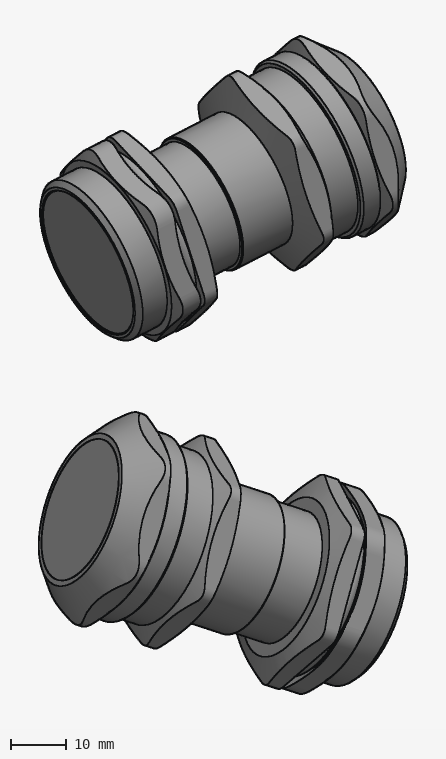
import cadquery as cq
import math

total_length = 60.07
front_y = -total_length / 2

locknut_front = 6.35
flange_front = 12.0
flange_back = 16.5
sleeve_front = 24.8
body_hex_front = 35.8
body_hex_back = 42.1
collar_front = 47.9
cap_front = 52.0
cap_back = 60.0

thread_diameter = 32.0
neck_diameter = 25.0
sleeve_diameter = 26.6
body_thread_diameter = 33.0
collar_diameter = 35.5
end_disc_diameter = 26.6

thread_chamfer = 1.0
sleeve_chamfer = 0.2
collar_chamfer = 0.45

recess_mouth_diameter = 28.8
recess_floor_diameter = 28.4
recess_depth = 0.2

nut_across_flats = 35.0
cap_across_flats = 36.0
locknut_corner_radius = 5.5
nut_corner_radius = 3.0
cap_corner_radius = 5.0

gentle_slope = math.tan(math.radians(20))
nut_slope = math.tan(math.radians(30))
cap_back_slope = math.tan(math.radians(45))
cap_front_slope = math.tan(math.radians(25))
cone_reach = 22.0
locknut_face_radius = 17.4
flange_face_radius = 15.0
cap_front_face_radius = 17.5
cap_back_face_radius = 14.35

dish_rim_station = 10.3

ring_outer_radius = 17.3
ring_section_radius = 1.5
ring_centre_station = 11.4


def revolve_about_axis(points):
    """Turn a closed outline of (radius, station) points about the gland's axis."""
    outline = cq.Workplane("XY").polyline(points).close()
    turned = outline.revolve(360, (0, 0, 0), (0, 1, 0))
    return turned.translate((0, front_y, 0))


def cylinder(diameter, start, end, front_chamfer=0.0):
    """A turned section, with an optional 45 degree chamfer on its front edge."""
    radius = diameter / 2
    points = [(0, start), (radius - front_chamfer, start)]
    if front_chamfer > 0:
        points.append((radius, start + front_chamfer))
    points += [(radius, end), (0, end)]
    return revolve_about_axis(points)


def hex_prism(across_flats, corner_radius, start, end):
    """A hexagon with rounded corners, two of them on the X axis."""
    across_corners = across_flats / math.cos(math.radians(30))
    prism = (
        cq.Workplane("XZ", origin=(0, front_y + start, 0))
        .polygon(6, across_corners)
        .extrude(start - end)
    )
    return prism.edges("|Y").fillet(corner_radius)


def cone_envelope(start, end, front_radius, front_slope, back_radius, back_slope):
    """The solid that bevels a hexagon: a cone on each end; a radius of None leaves it flat."""
    points = [(0, start)]
    if front_radius is None:
        points.append((cone_reach, start))
    else:
        points.append((front_radius, start))
        points.append((cone_reach, start + (cone_reach - front_radius) * front_slope))
    if back_radius is None:
        points.append((cone_reach, end))
    else:
        points.append((cone_reach, end - (cone_reach - back_radius) * back_slope))
        points.append((back_radius, end))
    points.append((0, end))
    return revolve_about_axis(points)


def make_locknut():
    nut = hex_prism(nut_across_flats, locknut_corner_radius, locknut_front, flange_front)
    bevel = cone_envelope(
        locknut_front, flange_front, locknut_face_radius, nut_slope, None, None
    )
    flat_radius = nut_across_flats / 2
    dish_bottom_radius = thread_diameter / 2
    dish = revolve_about_axis([
        (dish_bottom_radius, dish_rim_station - (flat_radius - dish_bottom_radius) * nut_slope),
        (cone_reach, dish_rim_station + (cone_reach - flat_radius) * nut_slope),
        (cone_reach, flange_back),
        (dish_bottom_radius, flange_back),
    ])
    return nut.intersect(bevel).cut(dish)


def make_sealing_ring():
    centre_radius = ring_outer_radius - ring_section_radius
    ring = (
        cq.Workplane("XY")
        .center(-centre_radius, ring_centre_station)
        .circle(ring_section_radius)
        .revolve(360, (centre_radius, 0, 0), (centre_radius, 1, 0))
    )
    return ring.translate((0, front_y, 0))


def make_flange():
    flange = hex_prism(nut_across_flats, nut_corner_radius, flange_front, flange_back)
    return flange.intersect(cone_envelope(
        flange_front, flange_back, None, None, flange_face_radius, gentle_slope
    ))


def make_body_hex():
    body_hex = hex_prism(nut_across_flats, nut_corner_radius, body_hex_front, body_hex_back)
    return body_hex.intersect(cone_envelope(
        body_hex_front, body_hex_back,
        sleeve_diameter / 2, gentle_slope,
        body_thread_diameter / 2, nut_slope,
    ))


def make_cap():
    cap = hex_prism(cap_across_flats, cap_corner_radius, cap_front, cap_back)
    return cap.intersect(cone_envelope(
        cap_front, cap_back,
        cap_front_face_radius, cap_front_slope,
        cap_back_face_radius, cap_back_slope,
    ))


thread = cylinder(thread_diameter, 0, flange_front, thread_chamfer)
neck = cylinder(neck_diameter, flange_back, sleeve_front)
sleeve = cylinder(sleeve_diameter, sleeve_front, body_hex_front, sleeve_chamfer)
body_thread = cylinder(body_thread_diameter, body_hex_back, collar_front)
collar = cylinder(collar_diameter, collar_front, cap_front, collar_chamfer)
end_disc = cylinder(end_disc_diameter, cap_back, total_length)
recess = revolve_about_axis([
    (0, 0),
    (recess_mouth_diameter / 2, 0),
    (recess_floor_diameter / 2, recess_depth),
    (0, recess_depth),
])

result = thread
for section in (
    make_locknut(), make_sealing_ring(), make_flange(), neck, sleeve,
    make_body_hex(), body_thread, collar, make_cap(), end_disc,
):
    result = result.union(section)
result = result.cut(recess)